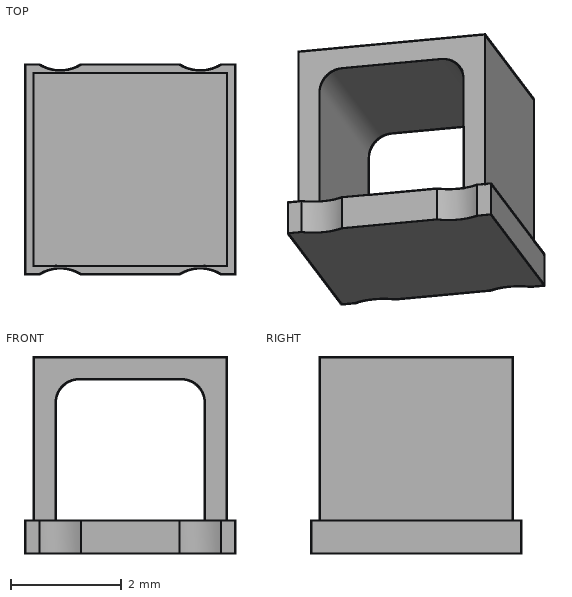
import cadquery as cq

base_side = 3.81
base_thickness = 0.6

cover_side = 3.5
total_height = 3.56
wall = 0.4
opening_corner_radius = 0.425

notch_pitch = 2.54
notch_width = 0.757
notch_depth = 0.108

cover_height = total_height - base_thickness
opening_width = cover_side - 2 * wall
opening_height = cover_height - wall
notch_radius = ((notch_width / 2) ** 2 + notch_depth**2) / (2 * notch_depth)
notch_center_y = base_side / 2 - notch_depth + notch_radius


def make_base():
    """Square plate with its bottom at Z = 0 and four edge notches."""
    plate = cq.Workplane("XY").rect(base_side, base_side).extrude(base_thickness)
    notches = (
        cq.Workplane("XY")
        .rect(notch_pitch, 2 * notch_center_y, forConstruction=True)
        .vertices()
        .circle(notch_radius)
        .extrude(base_thickness)
    )
    return plate.cut(notches)


def make_cover():
    """Block with a round-cornered opening running through it along Y."""
    block = (
        cq.Workplane("XY")
        .workplane(offset=base_thickness)
        .rect(cover_side, cover_side)
        .extrude(cover_height)
    )
    opening = (
        cq.Workplane("XY")
        .workplane(offset=base_thickness)
        .rect(opening_width, cover_side)
        .extrude(opening_height)
        .edges("|Y and >Z")
        .fillet(opening_corner_radius)
    )
    return block.cut(opening)


result = make_base().union(make_cover())